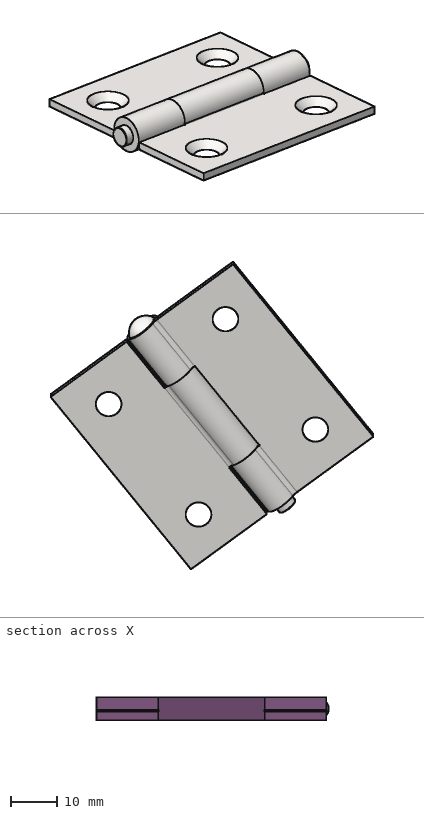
import cadquery as cq
import math

hinge_width = 50.0
leaf_length = 50.0
leaf_top = -0.4
leaf_thickness = 1.8
leaf_bottom = leaf_top - leaf_thickness

pin_diameter = 4.4
pin_radius = pin_diameter / 2
knuckle_radius = pin_radius + leaf_thickness
middle_knuckle_length = 23.0
end_knuckle_length = (leaf_length - middle_knuckle_length) / 2
leaf_setback = 4.15
curl_gap = 0.05
root_bend_radius = 1.55

screw_hole_spacing = 32.0
screw_hole_diameter = 5.5
countersink_diameter = 9.05
countersink_angle = 90

pin_length = 54.2
head_radius = 3.4
head_height = 2.2
tail_length = pin_length - leaf_length - head_height
tail_chamfer = 0.1


def polar(radius, angle):
    """Point at a radius and angle (radians) around the pin axis, in the XZ plane."""
    return (radius * math.cos(angle), radius * math.sin(angle))


def knuckle(y_start, length):
    """Sheet running in from the left, bent down and curled once around the pin."""
    bend_z = leaf_bottom - root_bend_radius
    bend_distance = knuckle_radius + root_bend_radius
    bend_x = -math.sqrt(bend_distance**2 - bend_z**2)
    root_angle = math.atan2(bend_z, bend_x) + 2 * math.pi

    bend_mid_angle = (math.pi / 2 + root_angle - math.pi) / 2
    bend_top_radius = bend_distance - pin_radius

    tip_angle = math.pi - math.asin((leaf_top + curl_gap) / knuckle_radius)
    curl_mid_angle = (root_angle - 2 * math.pi + tip_angle) / 2

    def on_bend(radius, angle):
        dx, dz = polar(radius, angle)
        return (bend_x + dx, bend_z + dz)

    return (
        cq.Workplane("XZ", origin=(0, y_start + length, 0))
        .moveTo(-leaf_setback, leaf_bottom)
        .lineTo(bend_x, leaf_bottom)
        .threePointArc(on_bend(root_bend_radius, bend_mid_angle), polar(knuckle_radius, root_angle))
        .threePointArc(polar(knuckle_radius, curl_mid_angle), polar(knuckle_radius, tip_angle))
        .lineTo(*polar(pin_radius, tip_angle))
        .threePointArc(polar(pin_radius, curl_mid_angle), polar(pin_radius, root_angle))
        .threePointArc(on_bend(bend_top_radius, bend_mid_angle), (bend_x, leaf_top))
        .lineTo(-leaf_setback, leaf_top)
        .close()
        .extrude(length)
    )


def leaf_plate():
    """Flat left-hand plate with its two countersunk screw holes."""
    plate_width = hinge_width / 2 - leaf_setback
    hole_offset = screw_hole_spacing / 2
    return (
        cq.Workplane("XY", origin=(-hinge_width / 2, 0, leaf_bottom))
        .box(plate_width, leaf_length, leaf_thickness, centered=(False, True, False))
        .faces(">Z")
        .workplane(origin=(0, 0, leaf_top))
        .pushPoints([(-hole_offset, -hole_offset), (-hole_offset, hole_offset)])
        .cskHole(screw_hole_diameter, countersink_diameter, countersink_angle)
    )


def make_outer_leaf():
    """Left leaf, with a knuckle at each end of the pin."""
    leaf = leaf_plate()
    for y_start in (-leaf_length / 2, middle_knuckle_length / 2):
        leaf = leaf.union(knuckle(y_start, end_knuckle_length))
    return leaf


def make_middle_leaf():
    """Right leaf, with one knuckle between the two of the outer leaf."""
    leaf = leaf_plate().union(knuckle(-middle_knuckle_length / 2, middle_knuckle_length))
    return leaf.rotate((0, 0, 0), (0, 0, 1), 180)


def make_pin():
    """Pin with a domed head at +Y and a chamfered tail at -Y."""
    head_base = leaf_length / 2
    head_top = head_base + head_height
    tail_end = -leaf_length / 2 - tail_length

    dome_radius = (head_radius**2 + head_height**2) / (2 * head_height)
    dome_mid_angle = math.asin(head_radius / dome_radius) / 2
    dome_mid = (
        dome_radius * math.sin(dome_mid_angle),
        head_top - dome_radius * (1 - math.cos(dome_mid_angle)),
    )
    return (
        cq.Workplane("XY")
        .moveTo(0, tail_end)
        .lineTo(pin_radius - tail_chamfer, tail_end)
        .lineTo(pin_radius, tail_end + tail_chamfer)
        .lineTo(pin_radius, head_base)
        .lineTo(head_radius, head_base)
        .threePointArc(dome_mid, (0, head_top))
        .close()
        .revolve(360, (0, 0, 0), (0, 1, 0))
    )


outer_leaf = make_outer_leaf()
middle_leaf = make_middle_leaf()
pin = make_pin()

result = cq.Compound.makeCompound([outer_leaf.val(), middle_leaf.val(), pin.val()])